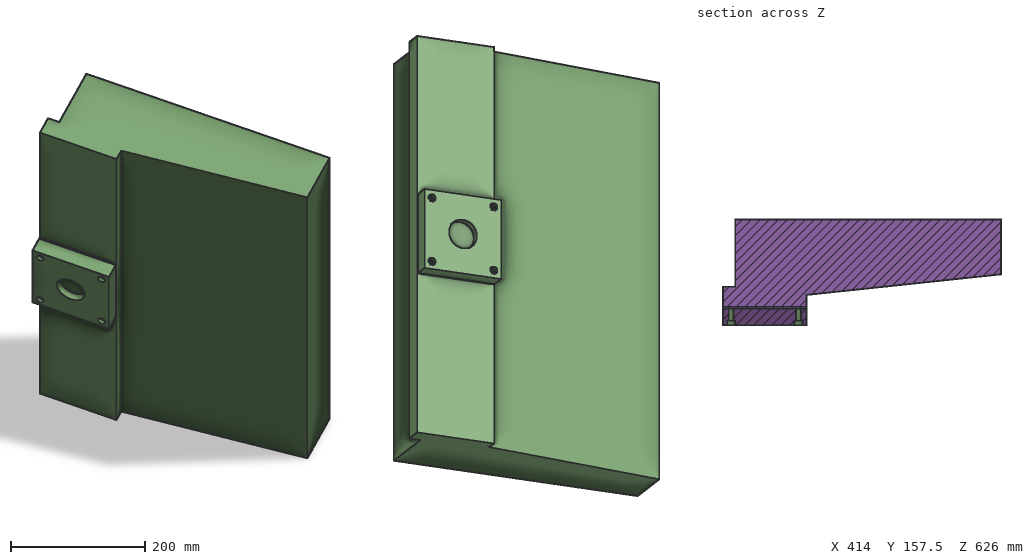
import cadquery as cq

HEIGHT = 626.0
WIDTH = 414.0
DEPTH = 130.0
FLANGE_WIDTH = 124.5
FLANGE_OVERHANG = 18.0
FLANGE_BACK = 100.0
TAPER_DEPTH_INNER = 112.5
TAPER_DEPTH_OUTER = 82.0

PLATE_SIZE = FLANGE_WIDTH
GASKET_THICKNESS = 3.0
PLATE_THICKNESS = 24.5
PLATE_CENTER_X = FLANGE_WIDTH / 2
PLATE_CENTER_Z = HEIGHT / 2
RECESS_DIAMETER = 45.0
RECESS_DEPTH = 12.0
SCREW_HOLE_DIAMETER = 7.0
COUNTERBORE_DIAMETER = 11.0
COUNTERBORE_DEPTH = 7.0
SCREW_HOLE_SPACING = 100.0


def make_housing():
    """Tapered block with a flange that overhangs on the left."""
    outline = [
        (FLANGE_OVERHANG, 0),
        (WIDTH, 0),
        (WIDTH, -TAPER_DEPTH_OUTER),
        (FLANGE_WIDTH, -TAPER_DEPTH_INNER),
        (FLANGE_WIDTH, -DEPTH),
        (0, -DEPTH),
        (0, -FLANGE_BACK),
        (FLANGE_OVERHANG, -FLANGE_BACK),
    ]
    return cq.Workplane("XY").polyline(outline).close().extrude(HEIGHT)


def make_square_block(back_depth, thickness):
    """Square block centred on the flange, growing from its back face toward -Y."""
    return (
        cq.Workplane("XZ", origin=(PLATE_CENTER_X, -back_depth, PLATE_CENTER_Z))
        .rect(PLATE_SIZE, PLATE_SIZE)
        .extrude(thickness)
    )


def make_cover_plate():
    """Square plate with a blind round recess and four counterbored screw holes."""
    plate = make_square_block(DEPTH + GASKET_THICKNESS, PLATE_THICKNESS)
    plate = plate.faces("<Y").workplane(centerOption="CenterOfBoundBox").hole(RECESS_DIAMETER, RECESS_DEPTH)
    return (
        plate.faces("<Y")
        .workplane(centerOption="CenterOfBoundBox")
        .rect(SCREW_HOLE_SPACING, SCREW_HOLE_SPACING, forConstruction=True)
        .vertices()
        .cboreHole(SCREW_HOLE_DIAMETER, COUNTERBORE_DIAMETER, COUNTERBORE_DEPTH)
    )


housing = make_housing()
gasket = make_square_block(DEPTH, GASKET_THICKNESS)
cover_plate = make_cover_plate()

result = cq.Compound.makeCompound([housing.val(), gasket.val(), cover_plate.val()])